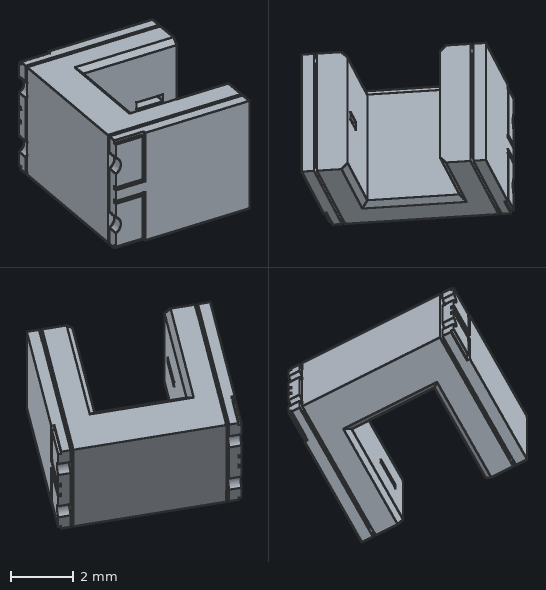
import cadquery as cq

length = 6.0
depth = 5.0
height = 4.0
front = -depth / 2

body_length = 5.0
plate_thickness = 0.41
core_inset = 0.25
cavity_width = 3.0
cavity_front_wall = 1.5
mouth_bevel = 0.2

window_width = 1.0
window_height = 0.25
window_back_margin = 0.51

pad_zone_depth = 1.1
pad_zone_height = 1.8
groove = 0.1
pad_center_z = (height - pad_zone_height) / 2

notch_radius = 0.32
notch_depth = 0.185


def box_from_front(size_x, size_y, size_z, start_y, center_x=0, center_z=0):
    """Box whose front face lies at start_y."""
    return cq.Workplane("XY").box(size_x, size_y, size_z).translate(
        (center_x, start_y + size_y / 2, center_z)
    )


def make_cavity():
    """Opening through Z with a bevelled mouth at the top and bottom."""
    start_y = front + cavity_front_wall
    run = depth
    cavity = box_from_front(cavity_width, run, height, start_y)
    for side in (1, -1):
        mouth_width = cavity_width + 2 * mouth_bevel
        mouth = (
            cq.Workplane("XY", origin=(0, start_y + run / 2, side * height / 2))
            .rect(mouth_width, run + 2 * mouth_bevel)
            .workplane(offset=-side * mouth_bevel)
            .rect(cavity_width, run)
            .loft(ruled=True)
        )
        cavity = cavity.union(mouth)
    return cavity


def make_body():
    body = box_from_front(body_length, depth, height, front).cut(make_cavity())
    window_start = depth / 2 - window_back_margin - window_width
    return body.cut(box_from_front(body_length, window_width, window_height, window_start))


def make_groove(center_x, center_z):
    """Frame around a pad, open at the front edge of the plate."""
    zone = box_from_front(groove, pad_zone_depth, pad_zone_height, front, center_x, center_z)
    pad_height = pad_zone_height - 2 * groove
    pad = box_from_front(groove, pad_zone_depth - groove, pad_height, front, center_x, center_z)
    return zone.cut(pad)


def make_notch(center_x, center_z):
    axis_y = front + notch_depth - notch_radius
    return (
        cq.Workplane("YZ", origin=(center_x, axis_y, center_z))
        .circle(notch_radius)
        .extrude(plate_thickness / 2, both=True)
    )


def make_plate(side):
    """End plate with its spacer core; side is -1 or +1 along X."""
    plate_x = side * (length - plate_thickness) / 2
    plate = box_from_front(plate_thickness, depth, height, front, plate_x)
    for center_z in (-pad_center_z, pad_center_z):
        plate = plate.cut(make_groove(side * (length - groove) / 2, center_z))
        plate = plate.cut(make_notch(plate_x, center_z))

    gap = (length - body_length) / 2 - plate_thickness
    core_x = side * (body_length + gap) / 2
    core_depth = depth - 2 * core_inset
    core_height = height - 2 * core_inset
    core = box_from_front(gap, core_depth, core_height, front + core_inset, core_x)
    return plate.union(core)


result = make_body().union(make_plate(-1)).union(make_plate(1))